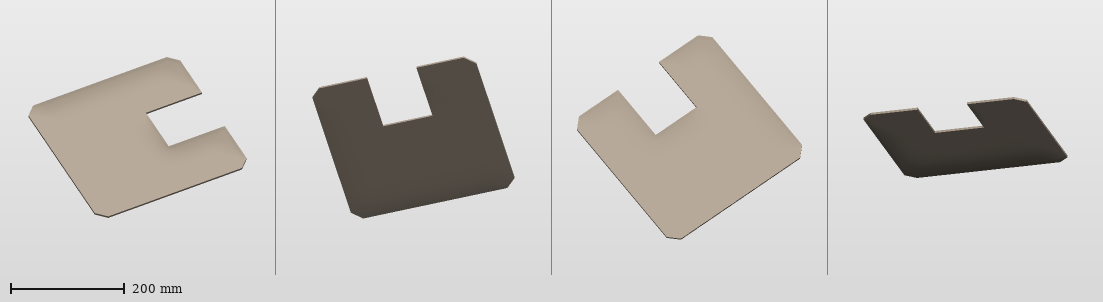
import cadquery as cq

side = 298.0
thickness = 4.0
corner_chamfer = 18.0
slot_width = 90.0
slot_depth = 110.0

plate = cq.Workplane("XY").box(side, side, thickness).edges("|Z").chamfer(corner_chamfer)

slot = (
    cq.Workplane("XY")
    .box(slot_width, slot_depth, thickness)
    .translate((0, (side - slot_depth) / 2, 0))
)

result = plate.cut(slot)